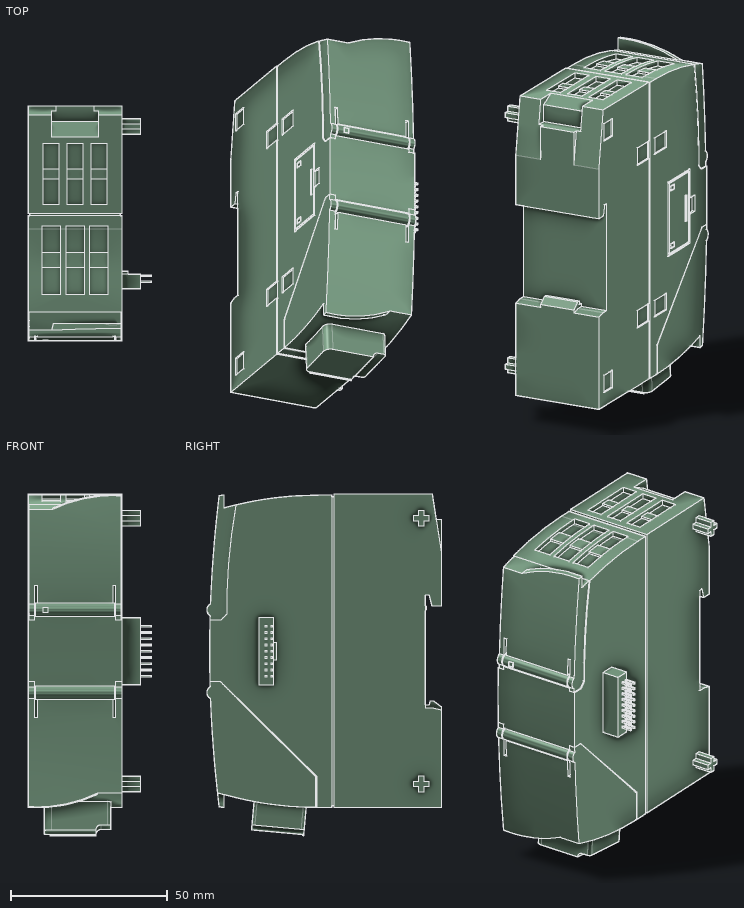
import cadquery as cq
import math


WIDTH = 30.0
HEIGHT = 100.0
MID_X = WIDTH / 2

REAR_DEPTH = 34.3
BACK_SLOPE_RUN = 2.9
BACK_SLOPE_BOTTOM = 80.9
RAIL_DEPTH = 5.2
RAIL_TOP = 67.7
RAIL_BOTTOM = 31.7
HOOK_BOTTOM = 64.2
HOOK_TIP_DEPTH = 3.2
HOOK_ROOT_DEPTH = 4.0
LEDGE_SLOPE_DEPTH = 2.8
LEDGE_BACK_Z = 31.1
SLIDER_WIDTH = 12.0
TAB_TOP = 91.9
SLOT_WIDTH = 15.0
SLOT_DEPTH = 9.9
SLOT_RAMP_START = 5.0
SLOT_RAMP_DROP = 2.4
CLIP_BACK_Z = 32.0
CLIP_TOP_Z = 34.0
CLIP_CATCH_Z = 32.7
CLIP_CREST = (2.6, 3.7)
CLIP_CATCH_DEPTH = 4.0
SPRING_DIAMETER = 2.0
SPRING_Z = 63.5
SPRING_PROUD = 0.4

SEAM = 0.7
SEAM_RECESS = 0.5
FRONT_START = REAR_DEPTH + SEAM
FRONT_HEIGHT = 99.6
FRONT_MID_Z = FRONT_HEIGHT / 2
FRONT_DEPTH = 74.0
BEYOND_FRONT = 76.3
FRONT_BOW = 3.0
CURVE_START = 39.2
CURVE_END_DROP = 4.7

HINGE_DIAMETER = 4.3
HINGE_DEPTH = 74.9 - HINGE_DIAMETER / 2
UPPER_HINGE_Z = 63.0
LOWER_HINGE_Z = 36.6
EAR_WIDTH = 2.1
BARREL_GAP = 0.3
EAR_RANGES = ((0, EAR_WIDTH), (WIDTH - EAR_WIDTH, WIDTH))
INSIDE_EARS_X = (EAR_WIDTH, WIDTH - EAR_WIDTH)
BARREL_X = (EAR_WIDTH + BARREL_GAP, WIDTH - EAR_WIDTH - BARREL_GAP)
HINGE_SLIT_WIDTH = 0.9
HINGE_SLIT_LENGTH = 7.8
HINGE_SLIT_DEPTH = 2.2
UPPER_DOOR_INSET = 0.3
UPPER_DOOR_TOP = (65.6, 96.0)
UPPER_DOOR_BACK_MID = (67.5, 82.8)
UPPER_DOOR_BACK_END = (68.5, 68.1)
UPPER_EAR_BOTTOM = 59.8
EAR_CHAMFER = 1.9
LOWER_DOOR_REAR = 39.8
LOWER_DOOR_GAP = 0.3
LOWER_DOOR_SLOPE_START_Z = 9.8
LOWER_DOOR_SLOPE_END = (70.1, 39.7)
LOWER_EAR_TOP = (70.6, 40.2)
LIP_BACK_DEPTH = 69.3
LIP_CORNER_X = 5.8
LIP_CORNER_DROP = 5.1
LIP_EDGE_TILT = 10.0
LIP_ROOT = 1.1
LIP_MID_X = 14.2
LIP_MID_DROP = 1.7
LAMP_SIZE = 1.6
LAMP_X = 5.6
LAMP_RECESS = 0.3

COLUMNS = (-1, 0, 1)
REAR_WINDOW_PITCH = 7.6
REAR_WINDOW_WIDTH = 5.1
REAR_WINDOW_DEPTH = (12.0, 31.4)
REAR_BRIDGE_DEPTH = (20.1, 23.3)
FRONT_WINDOW_PITCH = 7.5
FRONT_WINDOW_WIDTH = 5.9
FRONT_WINDOW_DEPTH = (38.3, 60.2)
FRONT_BRIDGE_DEPTH = (46.7, 51.5)
WINDOW_FLOOR = 1.7
WINDOW_BRIDGE = 1.1

POCKET_RECESS = 0.5
LATCH_SIZE = 5.0
LATCH_ARM = 1.6
LATCH_REACH = 5.9
LATCH_DEPTH = 6.5
LATCH_HEIGHTS = (7.5, 92.2)
LATCH_POCKET = 5.9
SEAM_POCKET_HEIGHTS = (22.5, 77.2)
SEAM_POCKET_LENGTH = 7.7
FRONT_POCKET_DEPTH = (38.3, 46.4)
SEAM_POCKET_SIZE = 5.9
FRONT_POCKET_SIZE = 5.6

COVER_DEPTH = (47.4, 62.3)
COVER_HEIGHT = 25.1
COVER_GROOVE = 0.8
COVER_MARK_RECESS = 0.3
COVER_DIMPLE_DEPTH = (49.3, 51.9)
COVER_DIMPLE_HEIGHT = 1.5
COVER_DIMPLE_OFFSET = 9.7
COVER_SLOT_DEPTH = (59.4, 60.3)
COVER_SLOT_HEIGHT = 8.7
FINGER_END = 65.7
FINGER_HEIGHT = 5.5
FINGER_RECESS = 1.1

CONNECTOR_REACH = LATCH_REACH
CONNECTOR_DEPTH = (53.6, 58.3)
CONNECTOR_HEIGHT = 21.5
KEY_REACH = 2.0
KEY_THICKNESS = 1.0
KEY_HEIGHT = 5.5
PIN_TIP_X = 39.3
PIN_SIZE = 0.5
PIN_COUNT = 9
PIN_SPAN = 15.9
PIN_ROW_DEPTHS = (54.2, 56.0)

PLUG_TILT = 5.2
PLUG_X = (5.1, 26.4)
PLUG_BACK = 43.2
PLUG_LENGTH = 16.8
PLUG_BELOW = 8.7
PLUG_ABOVE = 4.4
PLUG_LEFT_RADIUS = 2.3
PLUG_RIGHT_RADIUS = 1.0
PLUG_STEP_X = 21.7
PLUG_STEP_HEIGHT = 1.6
PLUG_STEP_FILLET = 1.5
PLUG_RIM_START_X = 7.0
PLUG_RIM = 0.3


def at(depth, z):
    """Point of a side profile."""
    return (-depth, z)


def side_plane(x):
    return cq.Workplane("YZ", origin=(x, 0, 0))


def block(x, depth, z):
    """Box from (low, high) ranges in X, depth and Z."""
    size = (x[1] - x[0], depth[1] - depth[0], z[1] - z[0])
    return cq.Workplane("XY").box(*size, centered=False).translate((x[0], -depth[1], z[0]))


def side_prism(points, x):
    """Straight-sided profile of (depth, z) points, extruded over an X range."""
    return side_plane(x[0]).polyline([at(*p) for p in points]).close().extrude(x[1] - x[0])


def rod(diameter, depth, z, x):
    """Cylinder along X."""
    return side_plane(x[0]).center(*at(depth, z)).circle(diameter / 2).extrude(x[1] - x[0])


def centred(middle, size):
    return (middle - size / 2, middle + size / 2)


FULL_X = (0, WIDTH)
SLIDER_X = centred(MID_X, SLIDER_WIDTH)


def turned_over(shape):
    """The shape turned half a turn about the depth axis through the middle of the front."""
    axis_start = (MID_X, 0, FRONT_MID_Z)
    axis_end = (MID_X, 1, FRONT_MID_Z)
    return shape.rotate(axis_start, axis_end, 180)


def side_pocket(depth, z):
    return block((0, POCKET_RECESS), depth, z)


def rear_profile():
    return [
        (BACK_SLOPE_RUN, HEIGHT), (REAR_DEPTH, HEIGHT), (REAR_DEPTH, 0), (0, 0),
        (0, LEDGE_BACK_Z), (LEDGE_SLOPE_DEPTH, RAIL_BOTTOM), (RAIL_DEPTH, RAIL_BOTTOM),
        (RAIL_DEPTH, RAIL_TOP), (HOOK_ROOT_DEPTH, RAIL_TOP), (HOOK_TIP_DEPTH, HOOK_BOTTOM),
        (0, HOOK_BOTTOM), (0, BACK_SLOPE_BOTTOM),
    ]


def slider_slot():
    ramp_foot = HEIGHT - SLOT_RAMP_DROP
    profile = [
        (0, TAB_TOP), (SLOT_RAMP_START, TAB_TOP), (SLOT_RAMP_START, ramp_foot),
        (SLOT_DEPTH, HEIGHT), (0, HEIGHT),
    ]
    return side_prism(profile, centred(MID_X, SLOT_WIDTH))


def rail_clip():
    """Spring-loaded hook at the lower edge of the rail recess."""
    profile = [
        (0, LEDGE_BACK_Z), (0, CLIP_BACK_Z),
        (CLIP_CREST[0], CLIP_TOP_Z), (CLIP_CREST[1], CLIP_TOP_Z), (CLIP_CATCH_DEPTH, CLIP_CATCH_Z),
        (RAIL_DEPTH, CLIP_CATCH_Z), (RAIL_DEPTH, RAIL_BOTTOM), (LEDGE_SLOPE_DEPTH, RAIL_BOTTOM),
    ]
    return side_prism(profile, SLIDER_X)


def latch(z):
    """Cross-shaped prong on the +X side."""
    reach = (WIDTH, WIDTH + LATCH_REACH)
    upright = block(reach, centred(LATCH_DEPTH, LATCH_ARM), centred(z, LATCH_SIZE))
    level = block(reach, centred(LATCH_DEPTH, LATCH_SIZE), centred(z, LATCH_ARM))
    return upright.union(level)


def rear_windows():
    windows = cq.Workplane("XY")
    for column in COLUMNS:
        x = centred(MID_X + column * REAR_WINDOW_PITCH, REAR_WINDOW_WIDTH)
        window = block(x, REAR_WINDOW_DEPTH, (HEIGHT - WINDOW_FLOOR, HEIGHT))
        bridge = block(x, REAR_BRIDGE_DEPTH, (HEIGHT - WINDOW_FLOOR, HEIGHT - WINDOW_BRIDGE))
        windows = windows.union(window.cut(bridge))
    return windows


def make_rear_housing():
    body = side_prism(rear_profile(), FULL_X)
    body = body.cut(slider_slot())
    body = body.union(block(SLIDER_X, (0, RAIL_DEPTH), (BACK_SLOPE_BOTTOM, TAB_TOP)))
    body = body.union(rail_clip())
    spring_depth = RAIL_DEPTH - SPRING_PROUD + SPRING_DIAMETER / 2
    body = body.union(rod(SPRING_DIAMETER, spring_depth, SPRING_Z, SLIDER_X))
    body = body.cut(rear_windows())
    for z in LATCH_HEIGHTS:
        body = body.cut(side_pocket(centred(LATCH_DEPTH, LATCH_POCKET), centred(z, LATCH_POCKET)))
        body = body.union(latch(z))
    pocket_depth = (REAR_DEPTH - SEAM_POCKET_LENGTH, REAR_DEPTH)
    for z in SEAM_POCKET_HEIGHTS:
        body = body.cut(side_pocket(pocket_depth, centred(z, SEAM_POCKET_SIZE)))
    return body


def front_face_depth(z):
    """Depth of the bowed front at height z."""
    radius = (FRONT_MID_Z ** 2 + FRONT_BOW ** 2) / (2 * FRONT_BOW)
    return FRONT_DEPTH - radius + math.sqrt(radius ** 2 - (z - FRONT_MID_Z) ** 2)


def front_outline():
    """Front half of the module: curved top and underside, bowed front.

    The curves leave the flat top and underside tangentially.
    """
    top_end = FRONT_HEIGHT - CURVE_END_DROP
    corner_depth = front_face_depth(CURVE_END_DROP)
    run = corner_depth - CURVE_START
    radius = (run ** 2 + CURVE_END_DROP ** 2) / (2 * CURVE_END_DROP)
    mid_depth = CURVE_START + run / 2
    mid_drop = radius - math.sqrt(radius ** 2 - (run / 2) ** 2)
    return (
        side_plane(0)
        .moveTo(*at(FRONT_START, 0))
        .lineTo(*at(FRONT_START, FRONT_HEIGHT))
        .lineTo(*at(CURVE_START, FRONT_HEIGHT))
        .threePointArc(at(mid_depth, FRONT_HEIGHT - mid_drop), at(corner_depth, top_end))
        .threePointArc(at(FRONT_DEPTH, FRONT_MID_Z), at(corner_depth, CURVE_END_DROP))
        .threePointArc(at(mid_depth, mid_drop), at(CURVE_START, 0))
        .close()
        .extrude(WIDTH)
    )


def upper_lip():
    """Front plate that rises above the curved top, with a swept upper edge."""
    corner_z = FRONT_HEIGHT - LIP_CORNER_DROP
    foot = corner_z - LIP_ROOT
    mid_z = (foot + FRONT_HEIGHT) / 2
    plate = (
        side_plane(0)
        .moveTo(*at(LIP_BACK_DEPTH, foot))
        .lineTo(*at(LIP_BACK_DEPTH, FRONT_HEIGHT))
        .lineTo(*at(front_face_depth(FRONT_HEIGHT), FRONT_HEIGHT))
        .threePointArc(at(front_face_depth(mid_z), mid_z), at(front_face_depth(foot), foot))
        .close()
        .extrude(WIDTH)
    )
    swept_edge = (
        cq.Workplane("XZ")
        .moveTo(0, foot)
        .lineTo(0, corner_z)
        .lineTo(LIP_CORNER_X, corner_z)
        .threePointArc((LIP_MID_X, FRONT_HEIGHT - LIP_MID_DROP), (WIDTH, FRONT_HEIGHT))
        .lineTo(WIDTH, foot)
        .close()
        .extrude(BEYOND_FRONT)
        .rotate((0, -LIP_BACK_DEPTH, FRONT_HEIGHT), (1, -LIP_BACK_DEPTH, FRONT_HEIGHT), LIP_EDGE_TILT)
    )
    return plate.intersect(swept_edge)


def upper_door_space():
    """Room that the upper door takes out of the front housing."""
    space = (
        side_plane(0)
        .moveTo(*at(UPPER_DOOR_TOP[0], FRONT_HEIGHT))
        .lineTo(*at(*UPPER_DOOR_TOP))
        .threePointArc(at(*UPPER_DOOR_BACK_MID), at(*UPPER_DOOR_BACK_END))
        .lineTo(*at(UPPER_DOOR_BACK_END[0], UPPER_HINGE_Z))
        .lineTo(*at(BEYOND_FRONT, UPPER_HINGE_Z))
        .lineTo(*at(BEYOND_FRONT, FRONT_HEIGHT))
        .close()
        .extrude(WIDTH)
    )
    back_depth = UPPER_DOOR_BACK_END[0]
    ear = [
        (back_depth, UPPER_HINGE_Z), (back_depth, UPPER_EAR_BOTTOM + EAR_CHAMFER),
        (back_depth + EAR_CHAMFER, UPPER_EAR_BOTTOM), (BEYOND_FRONT, UPPER_EAR_BOTTOM),
        (BEYOND_FRONT, UPPER_HINGE_Z),
    ]
    return with_hinge_room(space, ear, UPPER_HINGE_Z)


def lower_door_space(rear_edge):
    """Room for the lower door, whose lower rear edge is at the given depth."""
    slope_end_depth, slope_end_z = LOWER_DOOR_SLOPE_END
    slope = (slope_end_z - LOWER_DOOR_SLOPE_START_Z) / (slope_end_depth - rear_edge)
    axis_crossing = rear_edge + (LOWER_HINGE_Z - LOWER_DOOR_SLOPE_START_Z) / slope
    main = [
        (rear_edge, 0), (rear_edge, LOWER_DOOR_SLOPE_START_Z), (axis_crossing, LOWER_HINGE_Z),
        (BEYOND_FRONT, LOWER_HINGE_Z), (BEYOND_FRONT, 0),
    ]
    ear = [
        (axis_crossing, LOWER_HINGE_Z), LOWER_DOOR_SLOPE_END, LOWER_EAR_TOP,
        (BEYOND_FRONT, LOWER_EAR_TOP[1]), (BEYOND_FRONT, LOWER_HINGE_Z),
    ]
    return with_hinge_room(side_prism(main, FULL_X), ear, LOWER_HINGE_Z)


def with_hinge_room(space, ear, hinge_z):
    """Door space enlarged by both ears and by the room around the hinge barrel."""
    for x in EAR_RANGES:
        space = space.union(side_prism(ear, x))
    space = space.union(barrel_relief(hinge_z))
    return space.union(rod(HINGE_DIAMETER, HINGE_DEPTH, hinge_z, FULL_X))


def barrel_relief(hinge_z):
    """Slot, as high as the hinge barrel, that exposes the front half of the barrel."""
    return block(INSIDE_EARS_X, (HINGE_DEPTH, BEYOND_FRONT), centred(hinge_z, HINGE_DIAMETER))


def hinge_slits(z):
    """Two narrow slits over a Z range, beside the hinge ears."""
    depth = (FRONT_DEPTH - HINGE_SLIT_DEPTH, BEYOND_FRONT)
    left = block((EAR_WIDTH, EAR_WIDTH + HINGE_SLIT_WIDTH), depth, z)
    return left.union(left.mirror("YZ", (MID_X, 0, 0)))


def front_windows():
    """Windows whose floors and bridges follow the curved top."""
    outline = front_outline()
    below_floor = outline.translate((0, 0, -WINDOW_FLOOR))
    below_bridge = outline.translate((0, 0, -WINDOW_BRIDGE))
    windows = cq.Workplane("XY")
    for column in COLUMNS:
        x = centred(MID_X + column * FRONT_WINDOW_PITCH, FRONT_WINDOW_WIDTH)
        window = block(x, FRONT_WINDOW_DEPTH, (FRONT_MID_Z, HEIGHT)).cut(below_floor)
        bridge = block(x, FRONT_BRIDGE_DEPTH, (FRONT_MID_Z, HEIGHT)).intersect(below_bridge)
        windows = windows.union(window.cut(bridge))
    return windows


def side_cover_marks():
    """Groove around the side cover, with the small recesses on and beside the cover."""
    inner_depth = (COVER_DEPTH[0] + COVER_GROOVE, COVER_DEPTH[1] - COVER_GROOVE)
    inner_z = COVER_HEIGHT - 2 * COVER_GROOVE
    marks = side_pocket(COVER_DEPTH, centred(FRONT_MID_Z, COVER_HEIGHT))
    marks = marks.cut(side_pocket(inner_depth, centred(FRONT_MID_Z, inner_z)))
    mark_x = (0, COVER_MARK_RECESS)
    for side in (-1, 1):
        z = FRONT_MID_Z + side * COVER_DIMPLE_OFFSET
        marks = marks.union(block(mark_x, COVER_DIMPLE_DEPTH, centred(z, COVER_DIMPLE_HEIGHT)))
    marks = marks.union(block(mark_x, COVER_SLOT_DEPTH, centred(FRONT_MID_Z, COVER_SLOT_HEIGHT)))
    return marks.union(finger_recess(inner_depth[1]))


def finger_recess(start):
    """Wedge-shaped recess that deepens forward from the given depth."""
    profile = [(0, -start), (0, -FINGER_END), (FINGER_RECESS, -FINGER_END)]
    bottom = FRONT_MID_Z - FINGER_HEIGHT / 2
    return cq.Workplane("XY", origin=(0, 0, bottom)).polyline(profile).close().extrude(FINGER_HEIGHT)


def bus_connector():
    end_x = WIDTH + CONNECTOR_REACH
    connector = block((WIDTH, end_x), CONNECTOR_DEPTH, centred(FRONT_MID_Z, CONNECTOR_HEIGHT))
    key_depth = (CONNECTOR_DEPTH[0] - KEY_THICKNESS, CONNECTOR_DEPTH[0])
    key = block((WIDTH, WIDTH + KEY_REACH), key_depth, centred(FRONT_MID_Z, KEY_HEIGHT))
    connector = connector.union(key)
    pitch = PIN_SPAN / (PIN_COUNT - 1)
    for row_depth in PIN_ROW_DEPTHS:
        for number in range(PIN_COUNT):
            z = FRONT_MID_Z - PIN_SPAN / 2 + number * pitch
            pin = block((end_x, PIN_TIP_X), centred(row_depth, PIN_SIZE), centred(z, PIN_SIZE))
            connector = connector.union(pin)
    return connector


def make_front_housing():
    body = front_outline()
    body = body.cut(upper_door_space())
    body = body.cut(lower_door_space(LOWER_DOOR_REAR))
    body = body.cut(front_windows())
    for z in SEAM_POCKET_HEIGHTS:
        body = body.cut(side_pocket(FRONT_POCKET_DEPTH, centred(z, FRONT_POCKET_SIZE)))
    body = body.cut(side_cover_marks())
    seam_x = (SEAM_RECESS, WIDTH - SEAM_RECESS)
    seam_z = (SEAM_RECESS, FRONT_HEIGHT - SEAM_RECESS)
    body = body.union(block(seam_x, (REAR_DEPTH, FRONT_START), seam_z))
    return body.union(bus_connector())


def finish_hinge(door, hinge_z):
    """Free the front half of the hinge barrel between the ears."""
    door = door.cut(barrel_relief(hinge_z))
    return door.union(rod(HINGE_DIAMETER, HINGE_DEPTH, hinge_z, BARREL_X))


def make_upper_door():
    outline = front_outline().union(upper_lip())
    outline = outline.union(rod(HINGE_DIAMETER, HINGE_DEPTH, UPPER_HINGE_Z, FULL_X))
    door = outline.intersect(upper_door_space())
    inner_x = (UPPER_DOOR_INSET, WIDTH - UPPER_DOOR_INSET)
    door = door.intersect(block(inner_x, (0, BEYOND_FRONT), (0, HEIGHT)))
    door = finish_hinge(door, UPPER_HINGE_Z)
    slit_top = UPPER_HINGE_Z + HINGE_SLIT_LENGTH
    door = door.cut(hinge_slits((UPPER_HINGE_Z + HINGE_DIAMETER / 2, slit_top)))
    lamp_front = HINGE_DEPTH + HINGE_DIAMETER / 2
    lamp = block(centred(LAMP_X, LAMP_SIZE), (lamp_front - LAMP_RECESS, lamp_front),
                 centred(UPPER_HINGE_Z, LAMP_SIZE))
    return door.cut(lamp)


def make_lower_door(plug):
    outline = front_outline().union(turned_over(upper_lip()))
    outline = outline.union(rod(HINGE_DIAMETER, HINGE_DEPTH, LOWER_HINGE_Z, FULL_X))
    door = outline.intersect(lower_door_space(LOWER_DOOR_REAR + LOWER_DOOR_GAP))
    door = finish_hinge(door, LOWER_HINGE_Z)
    slit_bottom = LOWER_HINGE_Z - HINGE_SLIT_LENGTH
    door = door.cut(hinge_slits((slit_bottom, LOWER_HINGE_Z - HINGE_DIAMETER / 2)))
    return door.cut(plug)


def make_plug():
    depth = (PLUG_BACK, PLUG_BACK + PLUG_LENGTH)
    plug = block(PLUG_X, depth, (-PLUG_BELOW, PLUG_ABOVE))
    plug = plug.edges("|Z and <X").fillet(PLUG_LEFT_RADIUS)
    plug = plug.edges("|Z and >X").fillet(PLUG_RIGHT_RADIUS)
    step = block((PLUG_STEP_X, PLUG_X[1]), depth, (-PLUG_BELOW, -PLUG_BELOW + PLUG_STEP_HEIGHT))
    step = step.edges("|Y and <X and >Z").fillet(PLUG_STEP_FILLET)
    plug = plug.cut(step)
    rim_z = (-PLUG_BELOW - PLUG_RIM, -PLUG_BELOW)
    rim = block((PLUG_RIM_START_X, PLUG_STEP_X), (PLUG_BACK, PLUG_BACK + PLUG_RIM), rim_z)
    plug = plug.union(rim)
    return plug.rotate((0, -PLUG_BACK, 0), (1, -PLUG_BACK, 0), -PLUG_TILT)


rear_housing = make_rear_housing()
front_housing = make_front_housing()
upper_door = make_upper_door()
plug = make_plug()
lower_door = make_lower_door(plug)

result = cq.Compound.makeCompound([
    rear_housing.solids().val(),
    front_housing.solids().val(),
    upper_door.solids().val(),
    lower_door.solids().val(),
    plug.solids().val(),
])